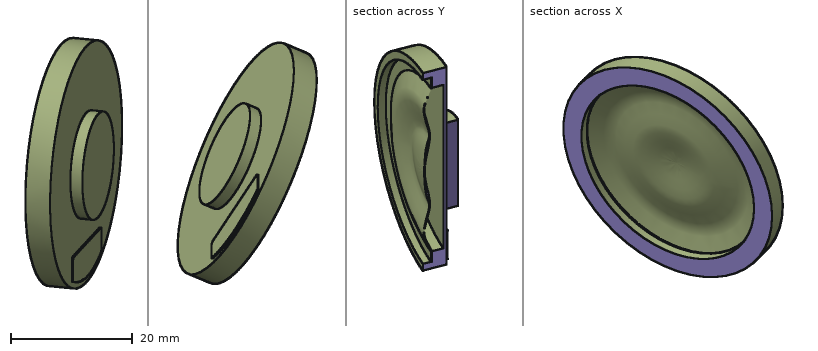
import cadquery as cq
import math


frame_diameter = 41.0
frame_depth = 4.25
recess_diameter = 38.0
recess_depth = 1.45
opening_diameter = 33.75
floor_thickness = 0.6

film_thickness = 0.2
valley_diameter = 16.0
crest_diameter = 26.25
crest_height = 1.3
valley_height = 0.35
dome_height = 1.25

magnet_diameter = 17.9
total_depth = 6.3

board_thickness = 0.2
board_width = 16.15
board_top = -13.5
board_outer_radius = 19.45
board_corner_radius = 0.5


def disc(diameter, start, end):
    """Cylinder on the X axis between two X positions."""
    return cq.Workplane("YZ").workplane(offset=start).circle(diameter / 2).extrude(end - start)


def make_frame():
    """Round cup with a seat for the diaphragm and a cavity behind it."""
    seat = recess_depth + film_thickness
    frame = disc(frame_diameter, 0, frame_depth)
    frame = frame.cut(disc(recess_diameter, 0, seat))
    return frame.cut(disc(opening_diameter, seat, frame_depth - floor_thickness))


def make_diaphragm():
    """Thin revolved film: flat rim, raised surround, valley and central dome."""
    rim_radius = recess_diameter / 2
    slope_radius = opening_diameter / 2
    crest_radius = crest_diameter / 2
    valley_radius = valley_diameter / 2
    front = recess_depth
    back = recess_depth + film_thickness

    def surface_points(base):
        """Slope foot, crest, valley and dome apex as (X, radius), raised toward -X from the base plane."""
        return [
            (base, slope_radius),
            (base - crest_height, crest_radius),
            (base - valley_height, valley_radius),
            (base - dome_height, 0),
        ]

    toward_axis = (0, -1)
    away_from_axis = (0, 1)
    up_slope = (-crest_height, crest_radius - slope_radius)
    down_slope = (crest_height, slope_radius - crest_radius)
    profile = (
        cq.Workplane("XY")
        .moveTo(front, rim_radius)
        .lineTo(front, slope_radius)
        .spline(surface_points(front)[1:], tangents=[up_slope, toward_axis], includeCurrent=True)
        .lineTo(back - dome_height, 0)
        .spline(surface_points(back)[-2::-1], tangents=[away_from_axis, down_slope], includeCurrent=True)
        .lineTo(back, rim_radius)
        .close()
    )
    return profile.revolve(360, (0, 0, 0), (1, 0, 0))


def make_magnet():
    """Round magnet housing on the back of the frame."""
    return disc(magnet_diameter, frame_depth, total_depth)


def make_terminal_board():
    """Thin plate with rounded upper corners and a lower edge concentric with the frame."""
    half_width = board_width / 2
    side_bottom = -math.sqrt(board_outer_radius**2 - half_width**2)
    return (
        cq.Workplane("YZ")
        .workplane(offset=frame_depth)
        .moveTo(-half_width, board_top)
        .lineTo(-half_width, side_bottom)
        .threePointArc((0, -board_outer_radius), (half_width, side_bottom))
        .lineTo(half_width, board_top)
        .close()
        .extrude(board_thickness)
        .edges("|X and >Z")
        .fillet(board_corner_radius)
    )


frame = make_frame()
diaphragm = make_diaphragm()
magnet = make_magnet()
terminal_board = make_terminal_board()

result = cq.Compound.makeCompound(
    [frame.val(), diaphragm.val(), magnet.val(), terminal_board.val()]
)